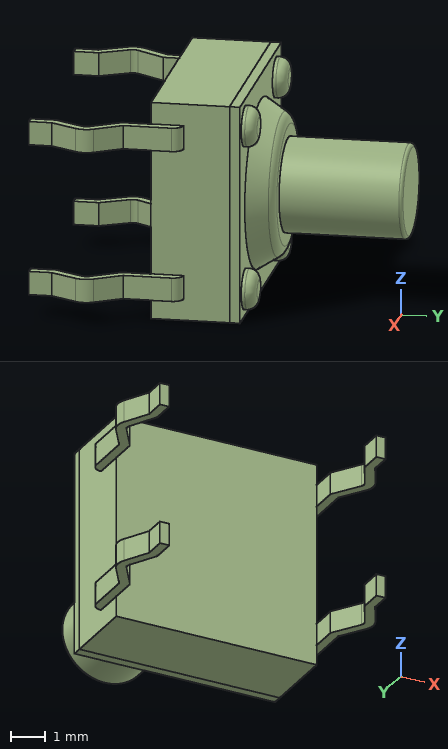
import cadquery as cq
import math


case_side = 6.5
base_depth = 2.3
cover_thickness = 0.3
cover_back = base_depth + cover_thickness

collar_base_radius = 2.5
collar_top_radius = 2.0
collar_height = 0.8
collar_round = 0.4
button_radius = 1.4
button_round = 0.1
collar_top = cover_back + collar_height

rivet_radius = 0.6
rivet_height = 0.4
rivet_round = 0.3
rivet_offset = 2.45

leg_thickness = 0.3
leg_width = 0.7
leg_spacing = 4.5
leg_overlap = 0.96
leg_reach = 3.5
shoulder_reach = 0.76
elbow_reach = 1.78
ankle_reach = 2.82
elbow_swing = 0.67
foot_swing = 0.1
elbow_inner_round = 0.21

total_depth = 10.5
button_height = total_depth - leg_reach - collar_top


def along_y(start):
    """XZ workplane at Y = start whose extrusions run toward +Y."""
    return cq.Workplane(cq.Plane(origin=(0, start, 0), xDir=(1, 0, 0), normal=(0, 1, 0)))


def make_leg():
    """Bent strip on the +X side, centred on Z = 0."""
    inner_x = case_side / 2
    outer_x = inner_x + leg_thickness
    elbow_x = outer_x + elbow_swing
    foot_x = outer_x + foot_swing

    out_angle = math.atan2(elbow_swing, elbow_reach - shoulder_reach)
    in_angle = math.atan2(elbow_swing - foot_swing, ankle_reach - elbow_reach)
    shoulder_shift = leg_thickness * math.tan(out_angle / 2)
    ankle_shift = leg_thickness * math.tan(in_angle / 2)
    elbow_tilt = (out_angle - in_angle) / 2
    elbow_mitre = leg_thickness / math.cos((out_angle + in_angle) / 2)

    elbow_outer = (elbow_x, -elbow_reach)
    elbow_inner = (
        elbow_x - elbow_mitre * math.cos(elbow_tilt),
        -elbow_reach - elbow_mitre * math.sin(elbow_tilt),
    )
    arc_mid = leg_thickness * math.sqrt(0.5)

    strip = (
        cq.Workplane("XY")
        .moveTo(inner_x, leg_overlap)
        .threePointArc(
            (inner_x + arc_mid, leg_overlap - leg_thickness + arc_mid),
            (outer_x, leg_overlap - leg_thickness),
        )
        .lineTo(outer_x, -shoulder_reach)
        .lineTo(*elbow_outer)
        .lineTo(foot_x, -ankle_reach)
        .lineTo(foot_x, -leg_reach)
        .lineTo(foot_x - leg_thickness, -leg_reach)
        .lineTo(foot_x - leg_thickness, -ankle_reach + ankle_shift)
        .lineTo(*elbow_inner)
        .lineTo(inner_x, -shoulder_reach - shoulder_shift)
        .close()
        .extrude(leg_width / 2, both=True)
    )

    outer_edge = cq.selectors.NearestToPointSelector((*elbow_outer, 0))
    inner_edge = cq.selectors.NearestToPointSelector((*elbow_inner, 0))
    strip = strip.edges("|Z").edges(outer_edge).fillet(elbow_inner_round + leg_thickness)
    return strip.edges("|Z").edges(inner_edge).fillet(elbow_inner_round)


def make_base():
    """Block with its four legs."""
    base = along_y(0).rect(case_side, case_side).extrude(base_depth)
    right_leg = make_leg()
    left_leg = right_leg.mirror("YZ")
    for z in (-leg_spacing / 2, leg_spacing / 2):
        for leg in (left_leg, right_leg):
            base = base.union(leg.translate((0, 0, z)))
    return base


def make_collar():
    """Cone frustum with a rounded rim."""
    return (
        along_y(cover_back)
        .circle(collar_base_radius)
        .workplane(offset=collar_height)
        .circle(collar_top_radius)
        .loft()
        .faces(">Y")
        .edges()
        .fillet(collar_round)
    )


def make_button():
    """Round push button with a softened end."""
    return (
        along_y(collar_top)
        .circle(button_radius)
        .extrude(button_height)
        .faces(">Y")
        .edges()
        .fillet(button_round)
    )


def make_rivet_heads():
    """Four rounded rivet heads on the back of the cover."""
    return (
        along_y(cover_back)
        .rect(2 * rivet_offset, 2 * rivet_offset, forConstruction=True)
        .vertices()
        .circle(rivet_radius)
        .extrude(rivet_height)
        .faces(">Y")
        .edges()
        .fillet(rivet_round)
    )


def make_cover():
    """Cover plate carrying the rivet heads, the collar and the button."""
    plate = along_y(base_depth).rect(case_side, case_side).extrude(cover_thickness)
    return plate.union(make_rivet_heads()).union(make_collar()).union(make_button())


base = make_base()
cover = make_cover()

result = cq.Compound.makeCompound([base.solids().val(), cover.solids().val()])